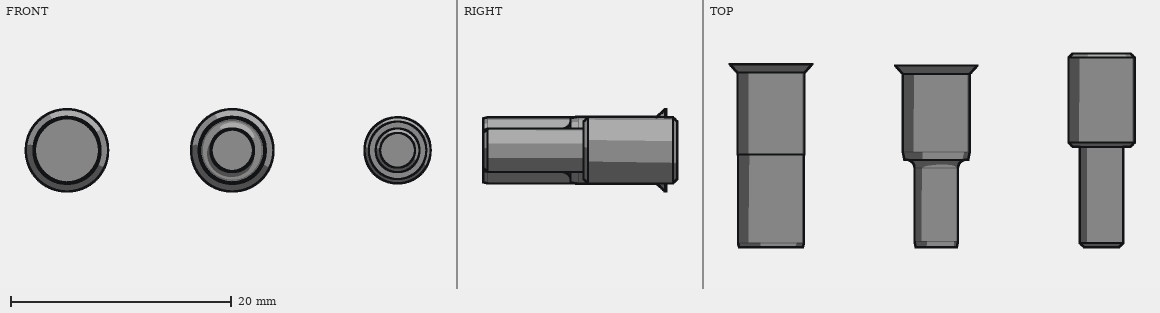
import cadquery as cq

pitch = 15.0
shank_radius = 2.0
sleeve_radius = 3.05
flange_radius = 3.75
flange_depth = 0.77

straight_length = 16.6
straight_front_length = 8.4
straight_front_radius = 3.0
straight_tip_depth = 0.4
straight_tip_inset = 0.1

flanged_length = 16.5
flanged_shoulder_y = 7.95
flanged_shoulder_depth = 0.7
flanged_shoulder_inset = 0.15
flanged_tip_depth = 0.55
flanged_tip_inset = 0.1
neck_fillet = 0.75

plain_length = 17.6
plain_shoulder_y = 9.1
plain_head_radius = 3.0
plain_chamfer = 0.4


def turn(profile, position):
    """Revolve a closed (radius, Y) half-profile about Y and move it to its place in the row."""
    return profile.close().revolve(360, (0, 0), (0, 1)).translate((position * pitch, 0, 0))


def make_straight_pin(position):
    """Full-width pin with a slight step at mid-length and a conical flange at the back."""
    profile = (
        cq.Workplane("XY")
        .lineTo(straight_front_radius - straight_tip_inset, 0)
        .lineTo(straight_front_radius, straight_tip_depth)
        .lineTo(straight_front_radius, straight_front_length)
        .lineTo(sleeve_radius, straight_front_length)
        .lineTo(sleeve_radius, straight_length - flange_depth)
        .lineTo(flange_radius, straight_length)
        .lineTo(0, straight_length)
    )
    return turn(profile, position)


def make_flanged_pin(position):
    """Stepped pin with a filleted neck, a tapered shoulder and a conical flange at the back."""
    profile = (
        cq.Workplane("XY")
        .lineTo(shank_radius - flanged_tip_inset, 0)
        .lineTo(shank_radius, flanged_tip_depth)
        .lineTo(shank_radius, flanged_shoulder_y - neck_fillet)
        .tangentArcPoint((neck_fillet, neck_fillet))
        .lineTo(sleeve_radius - flanged_shoulder_inset, flanged_shoulder_y)
        .lineTo(sleeve_radius, flanged_shoulder_y + flanged_shoulder_depth)
        .lineTo(sleeve_radius, flanged_length - flange_depth)
        .lineTo(flange_radius, flanged_length)
        .lineTo(0, flanged_length)
    )
    return turn(profile, position)


def make_plain_pin(position):
    """Stepped pin with equal chamfers at the tip and at both ends of its head."""
    profile = (
        cq.Workplane("XY")
        .lineTo(shank_radius - plain_chamfer, 0)
        .lineTo(shank_radius, plain_chamfer)
        .lineTo(shank_radius, plain_shoulder_y)
        .lineTo(plain_head_radius - plain_chamfer, plain_shoulder_y)
        .lineTo(plain_head_radius, plain_shoulder_y + plain_chamfer)
        .lineTo(plain_head_radius, plain_length - plain_chamfer)
        .lineTo(plain_head_radius - plain_chamfer, plain_length)
        .lineTo(0, plain_length)
    )
    return turn(profile, position)


straight_pin = make_straight_pin(0)
flanged_pin = make_flanged_pin(1)
plain_pin = make_plain_pin(2)

result = cq.Compound.makeCompound([straight_pin.val(), flanged_pin.val(), plain_pin.val()])